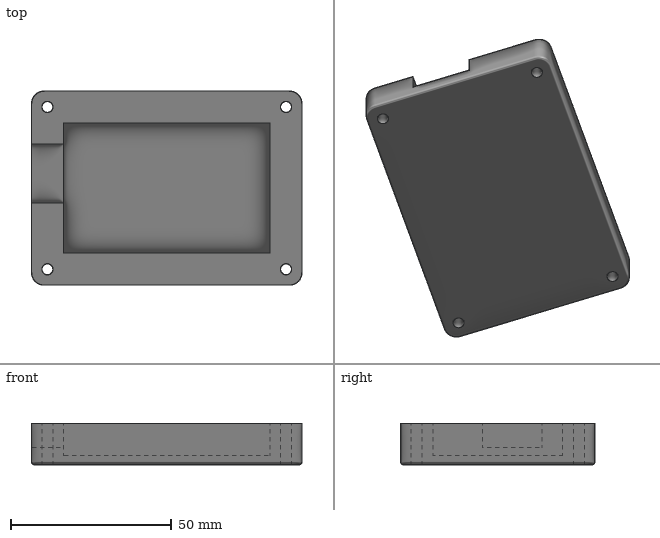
import cadquery as cq

length = 84.4
width = 60.6
height = 13.0
corner_radius = 4.0
bottom_edge_radius = 1.0

wall = 10.05
pocket_depth = 10.05

notch_width = 18.5
notch_depth = 7.5
notch_center_y = 4.55

hole_diameter = 3.4
hole_inset = 5.0


def make_block():
    """Round-cornered block centred in X and Y, with its base at Z = 0."""
    block = cq.Workplane("XY").box(length, width, height, centered=(True, True, False))
    block = block.edges("|Z").fillet(corner_radius)
    return block.faces("<Z").edges().fillet(bottom_edge_radius)


def make_pocket():
    """Cavity that leaves an equal wall on all four sides."""
    return (
        cq.Workplane("XY", origin=(0, 0, height - pocket_depth))
        .rect(length - 2 * wall, width - 2 * wall)
        .extrude(pocket_depth)
    )


def make_notch():
    """Opening from the -X face into the pocket."""
    return (
        cq.Workplane("XY", origin=((wall - length) / 2, notch_center_y, height - notch_depth))
        .rect(wall, notch_width)
        .extrude(notch_depth)
    )


def make_holes():
    """Cylinders for the four corner holes."""
    return (
        cq.Workplane("XY")
        .rect(length - 2 * hole_inset, width - 2 * hole_inset, forConstruction=True)
        .vertices()
        .circle(hole_diameter / 2)
        .extrude(height)
    )


result = make_block().cut(make_pocket()).cut(make_notch()).cut(make_holes())